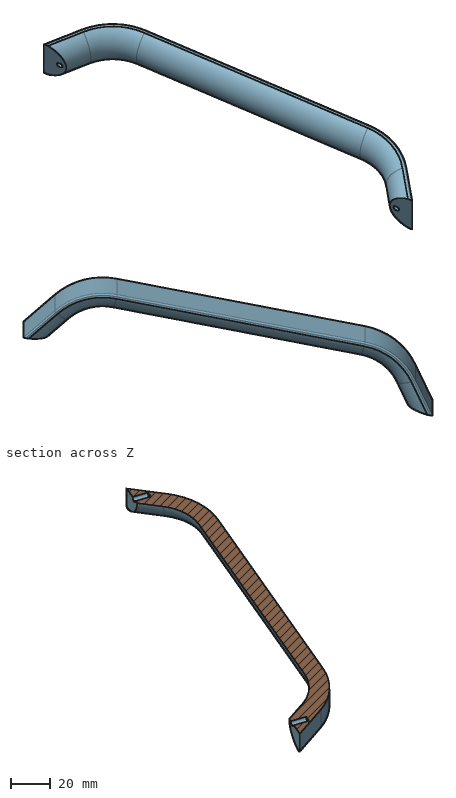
import cadquery as cq
import math

length = 211.0
projection = 32.0
width = 24.5

thickness = 10.5
flank_depth = 2.1
edge_round = 0.8

grip_length = 127.9
outer_bend_radius = 35.9

hole_diameter = 3.2
hole_depth = 8.5
hole_end_distance = 9.3

foot_y = -projection / 2
outer_y = projection / 2
half_length = length / 2
half_grip = grip_length / 2
half_width = width / 2

bend_center_y = outer_y - outer_bend_radius
tip_dx = half_length - half_grip
tip_dy = foot_y - bend_center_y
tip_distance = math.hypot(tip_dx, tip_dy)
tangent_angle = math.atan2(tip_dy, tip_dx) + math.acos(outer_bend_radius / tip_distance)
leg_angle = math.pi / 2 - tangent_angle

leg_extra = 2 * thickness
leg_length = math.sqrt(tip_distance**2 - outer_bend_radius**2) + leg_extra


def bend_point(angle):
    """Point on the right outer bend, with the angle measured from the grip."""
    return (
        half_grip + outer_bend_radius * math.sin(angle),
        bend_center_y + outer_bend_radius * math.cos(angle),
    )


def mirror_x(point):
    return (-point[0], point[1])


def make_path():
    bend_middle = bend_point(leg_angle / 2)
    bend_end = bend_point(leg_angle)
    leg_end = (
        bend_end[0] + leg_length * math.cos(leg_angle),
        bend_end[1] - leg_length * math.sin(leg_angle),
    )
    return (
        cq.Workplane("XY")
        .moveTo(*mirror_x(leg_end))
        .lineTo(*mirror_x(bend_end))
        .threePointArc(mirror_x(bend_middle), (-half_grip, outer_y))
        .lineTo(half_grip, outer_y)
        .threePointArc(bend_middle, bend_end)
        .lineTo(*leg_end)
    ), leg_end


def make_bar():
    """Sweep the D section with its flat back on the outer path."""
    path, leg_end = make_path()
    section_plane = cq.Plane(
        origin=(-leg_end[0], leg_end[1], 0),
        xDir=(-math.sin(leg_angle), math.cos(leg_angle), 0),
        normal=(math.cos(leg_angle), math.sin(leg_angle), 0),
    )
    round_middle = edge_round * (1 - math.sqrt(0.5))
    section = (
        cq.Workplane(section_plane)
        .moveTo(0, half_width - edge_round)
        .threePointArc((-round_middle, half_width - round_middle), (-edge_round, half_width))
        .lineTo(-flank_depth, half_width)
        .threePointArc((-thickness, 0), (-flank_depth, -half_width))
        .lineTo(-edge_round, -half_width)
        .threePointArc((-round_middle, -half_width + round_middle), (0, -half_width + edge_round))
        .close()
    )
    return section.sweep(path)


def trim_feet(bar):
    envelope = cq.Workplane("XY").box(length, projection, width)
    return bar.intersect(envelope)


def drill_feet(bar):
    hole_x = half_length - hole_end_distance
    holes = (
        cq.Workplane("XZ", origin=(0, foot_y, 0))
        .pushPoints([(-hole_x, 0), (hole_x, 0)])
        .circle(hole_diameter / 2)
        .extrude(-hole_depth)
    )
    return bar.cut(holes)


result = drill_feet(trim_feet(make_bar()))